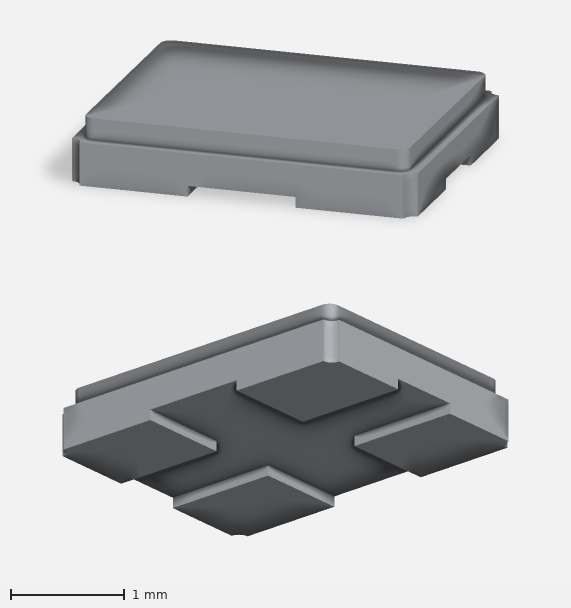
import cadquery as cq

length = 3.2
width = 2.5
height = 0.6

pad_thickness = 0.1
base_thickness = 0.3
lid_thickness = height - pad_thickness - base_thickness

pad_length = 1.1
pad_width = 0.9

notch_radius = 0.1
lid_inset = notch_radius
lid_corner_radius = 0.1

corners = [(sx * length / 2, sy * width / 2) for sx in (-1, 1) for sy in (-1, 1)]


def block(size_x, size_y, thickness, bottom):
    """Block centred on the Z axis, with its underside at the given height."""
    return cq.Workplane("XY").workplane(offset=bottom).box(
        size_x, size_y, thickness, centered=(True, True, False)
    )


def make_corner_notches():
    """Quarter-round castellations through the full height, centred on the corners."""
    return cq.Workplane("XY").pushPoints(corners).circle(notch_radius).extrude(height)


def make_housing():
    """Notched base with a raised, round-cornered lid in one piece."""
    base = block(length, width, base_thickness, pad_thickness).cut(make_corner_notches())
    lid = block(
        length - 2 * lid_inset,
        width - 2 * lid_inset,
        lid_thickness,
        pad_thickness + base_thickness,
    )
    lid = lid.edges("|Z").fillet(lid_corner_radius)
    return base.union(lid)


def make_pad(corner_x, corner_y):
    """Contact pad under one corner of the base, sharing its corner notch."""
    side_x = 1 if corner_x > 0 else -1
    side_y = 1 if corner_y > 0 else -1
    center = (corner_x - side_x * pad_length / 2, corner_y - side_y * pad_width / 2, 0)
    pad = block(pad_length, pad_width, pad_thickness, 0).translate(center)
    return pad.cut(make_corner_notches())


housing = make_housing()
pads = [make_pad(x, y) for x, y in corners]

result = cq.Compound.makeCompound([housing.val(), *[pad.val() for pad in pads]])